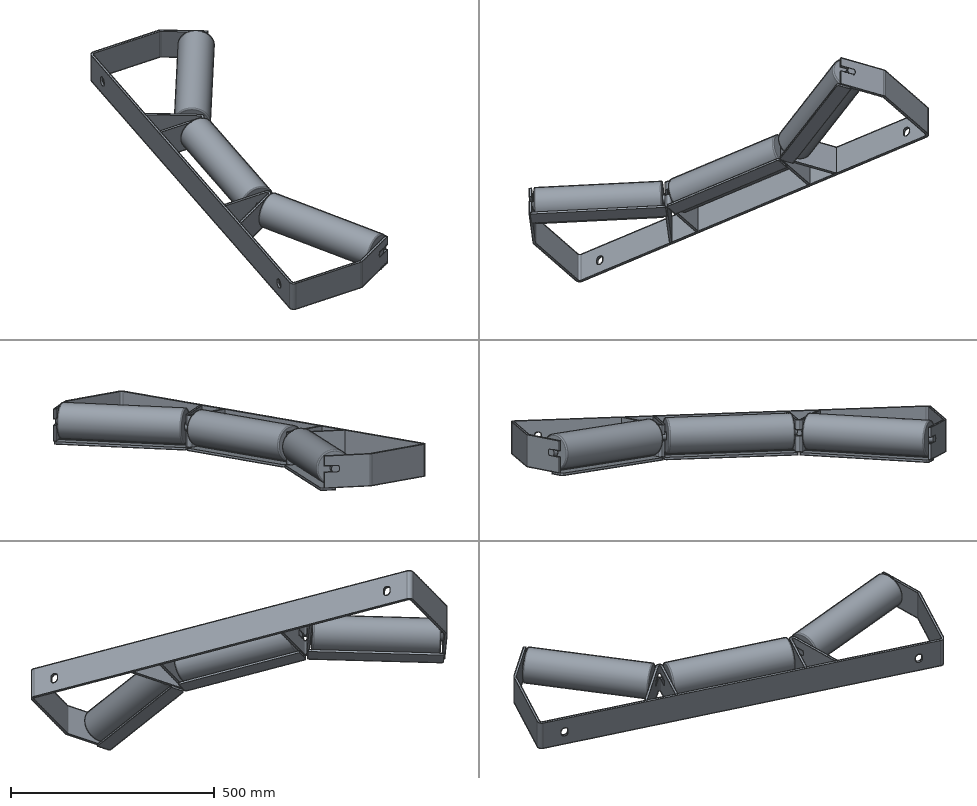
import cadquery as cq
import math


roller_diameter = 89.0
roller_length = 315.0
roller_rounding = 3.0
journal_diameter = 21.0
journal_flats = 16.0
tilt = 30.0
center_roller_y = 101.0
side_roller_x = 333.0
side_roller_y = 189.0

sheet = 6.0
strip_height = 80.0
strip_bottom = -47.0
end_gap = 6.0

frame_length = 1050.0
frame_bend_radius = 8.0
arm_reach = 28.0
hole_x = 458.0
hole_z = -9.0
hole_width = 18.0
hole_height = 25.0

bracket_top_y = 129.0
bracket_bend_radius = 5.0

plate_width = 37.0
plate_overlap = 3.0
plate_corner_radius = 5.0

strip_face = roller_length / 2 + end_gap
strip_middle = strip_face + sheet / 2

left_station = (-side_roller_x, side_roller_y, -tilt)
center_station = (0, center_roller_y, 0)
right_station = (side_roller_x, side_roller_y, tilt)
stations = [left_station, center_station, right_station]


def place(body, station):
    """Turn a body built along X about the origin, then move it to a roller station."""
    x, y, angle = station
    return body.rotate((0, 0, 0), (0, 0, 1), angle).translate((x, y, 0))


def station_point(station, along, across):
    """Plan point at a distance along a roller axis and a distance across it."""
    x, y, angle = station
    cosine = math.cos(math.radians(angle))
    sine = math.sin(math.radians(angle))
    return (x + along * cosine - across * sine, y + along * sine + across * cosine)


def bent_strip(points, radius):
    """Strip standing on edge along a bent centre line, with rounded bends."""
    middle_z = strip_bottom + strip_height / 2
    path = cq.Wire.makePolygon([cq.Vector(x, y, middle_z) for x, y in points]).fillet(radius)
    section = cq.Plane(origin=path.startPoint(), xDir=(0, 0, 1), normal=path.tangentAt(0))
    return cq.Workplane(section).rect(strip_height, sheet).sweep(cq.Workplane(path))


def x_cylinder(diameter, length):
    """Cylinder along X, centred on the origin."""
    return cq.Workplane("YZ", origin=(-length / 2, 0, 0)).circle(diameter / 2).extrude(length)


def make_tongue(end):
    """Flatted end of a journal (-1 or 1), where it passes through the strip steel."""
    bar = x_cylinder(journal_diameter, sheet)
    flats = cq.Workplane("XY").box(sheet, journal_diameter, journal_flats)
    return bar.intersect(flats).translate((end * strip_middle, 0, 0))


def make_slot(station, end):
    """Cutter for the tongue's slot at one end of a roller, open at the free edge of the strip."""
    mouth_length = roller_diameter / 2
    mouth = cq.Workplane("XY").box(2 * sheet, mouth_length, journal_flats)
    mouth = mouth.translate((end * strip_middle, mouth_length / 2, 0))
    return place(make_tongue(end).union(mouth), station)


def make_roller(station):
    """Roller with a journal at each end that fills the seat of its slot."""
    shell = x_cylinder(roller_diameter, roller_length).faces("<X or >X").fillet(roller_rounding)
    journals = x_cylinder(journal_diameter, 2 * strip_face)
    roller = shell.union(journals).union(make_tongue(-1)).union(make_tongue(1))
    return place(roller, station)


def make_plate(station):
    """Flat plate against the underside of the strips, reaching from the roller axis to its far side."""
    length = 2 * (strip_face + plate_overlap)
    plate = (
        cq.Workplane("XY", origin=(0, plate_width / 2, strip_bottom - sheet))
        .rect(length, plate_width)
        .extrude(sheet)
        .edges("|Z and >Y")
        .fillet(plate_corner_radius)
    )
    return place(plate, station)


def make_frame():
    """Long base strip with two upright sides whose arms lean inward to carry the outer journals."""
    side_x = (frame_length - sheet) / 2
    base_y = sheet / 2
    seat_x, seat_y = station_point(right_station, strip_middle, 0)
    knee_y = seat_y - (side_x - seat_x) / math.tan(math.radians(tilt))
    tip = station_point(right_station, strip_middle, arm_reach)
    right_half = [(side_x, base_y), (side_x, knee_y), tip]
    left_half = [(-x, y) for x, y in reversed(right_half)]
    frame = bent_strip(left_half + right_half, frame_bend_radius)

    mounting_holes = (
        cq.Workplane("XZ")
        .pushPoints([(-hole_x, hole_z), (hole_x, hole_z)])
        .slot2D(hole_height, hole_width, 90)
        .extrude(sheet, both=True)
    )
    return frame.cut(mounting_holes).cut(make_slot(left_station, -1)).cut(make_slot(right_station, 1))


def make_bracket(side):
    """Bracket between the centre roller and the side roller on one side (-1 or 1)."""
    seat_x, seat_y = station_point(right_station, -strip_middle, 0)
    top_y = bracket_top_y - sheet / 2
    foot_y = -sheet

    def leaning_leg_x(y):
        return seat_x - (y - seat_y) * math.tan(math.radians(tilt))

    bracket = bent_strip(
        [
            (strip_middle, foot_y),
            (strip_middle, top_y),
            (leaning_leg_x(top_y), top_y),
            (leaning_leg_x(foot_y), foot_y),
        ],
        bracket_bend_radius,
    )
    trim_depth = 2 * strip_height
    trim = cq.Workplane("XY").box(frame_length, trim_depth, 2 * strip_height)
    trim = trim.translate((0, sheet - trim_depth / 2, 0))
    bracket = bracket.cut(trim).cut(make_slot(center_station, 1)).cut(make_slot(right_station, -1))
    return bracket if side > 0 else bracket.mirror("YZ")


frame = make_frame()
brackets = [make_bracket(side) for side in (-1, 1)]
rollers = [make_roller(station) for station in stations]
plates = [make_plate(station) for station in stations]

result = cq.Compound.makeCompound([body.val() for body in [frame, *brackets, *rollers, *plates]])